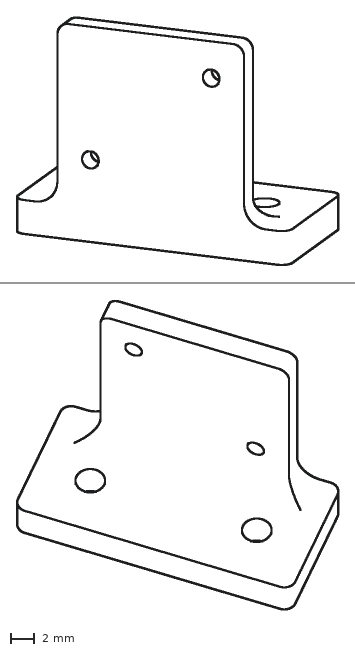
import cadquery as cq

base_width = 25
base_depth = 12
base_thickness = 3
corner_radius = 1

total_height = 19
upright_width = 17
upright_thickness = 2
root_radius = 2

base_hole_diameter = 2.5
base_hole_spacing = 15
base_hole_y = 7

upright_hole_diameter = 1.5
upright_hole_centres = [(-5.5, 7.25), (5.5, 15.75)]


def make_base():
    return (
        cq.Workplane("XY")
        .box(base_width, base_depth, base_thickness, centered=(True, False, False))
        .edges("|Z")
        .fillet(corner_radius)
    )


def make_upright():
    return (
        cq.Workplane("XY")
        .box(upright_width, upright_thickness, total_height, centered=(True, False, False))
        .edges("|Y and >Z")
        .fillet(corner_radius)
    )


def blend_root(body):
    """Round the inside corner along the back and both sides of the upright."""
    margin = 0.25
    root_edges = cq.selectors.BoxSelector(
        (-upright_width / 2 - margin, -margin, base_thickness - margin),
        (upright_width / 2 + margin, upright_thickness + margin, base_thickness + margin),
    )
    return body.edges(root_edges).fillet(root_radius)


def base_holes():
    half_spacing = base_hole_spacing / 2
    return (
        cq.Workplane("XY")
        .pushPoints([(-half_spacing, base_hole_y), (half_spacing, base_hole_y)])
        .circle(base_hole_diameter / 2)
        .extrude(base_thickness)
    )


def upright_holes():
    return (
        cq.Workplane("XZ")
        .pushPoints(upright_hole_centres)
        .circle(upright_hole_diameter / 2)
        .extrude(-upright_thickness)
    )


bracket = blend_root(make_base().union(make_upright()))
result = bracket.cut(base_holes()).cut(upright_holes())